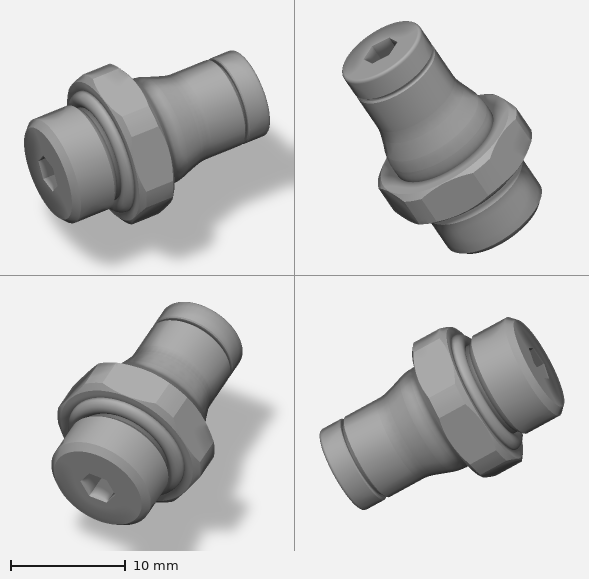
import cadquery as cq
import math

length = 20.0

thread_radius = 4.85
thread_chamfer = 0.58
thread_end = 3.95
relief_radius = 4.32
relief_taper_end = thread_end + thread_radius - relief_radius

hex_start = 5.5
hex_width = 3.5
hex_end = hex_start + hex_width
hex_across_flats = 13.0
hex_corner_radius = 7.0
hex_face_radius = 6.45
hex_chamfer_width = 0.42

ring_section_radius = 0.8
ring_center_radius = 4.85
ring_center_y = hex_start

shoulder_radius = 4.92
shoulder_end = 10.15
spigot_radius = 4.0
spigot_start = 14.05
shoulder_arc_radius = 3.6
spigot_end_round = 0.28

groove_radius = 3.52
groove_start = 17.52
groove_end = 17.82
groove_edge_chamfer = 0.1

key_across_flats = 2.95


def hexagon_prism(across_flats, start, end):
    """Hexagonal prism along Y with two corners on the X axis."""
    across_corners = across_flats / math.cos(math.pi / 6)
    return (
        cq.Workplane("XZ", origin=(0, start, 0))
        .polygon(6, across_corners)
        .extrude(start - end)
    )


def revolve_about_y(profile):
    return profile.revolve(360, (0, 0, 0), (0, 1, 0))


def make_body():
    """Turned core: thread, relief, shoulder and plain spigot."""
    run = spigot_start - shoulder_end
    center_offset = 2 * shoulder_arc_radius - (shoulder_radius - spigot_radius)
    center_distance = math.hypot(run, center_offset)
    cone_angle = math.atan2(run, center_offset) - math.acos(2 * shoulder_arc_radius / center_distance)

    def arc_point(angle):
        """Inward and axial travel along a shoulder arc turned through the angle."""
        inward = shoulder_arc_radius * (1 - math.cos(angle))
        axial = shoulder_arc_radius * math.sin(angle)
        return inward, axial

    mid_inward, mid_axial = arc_point(cone_angle / 2)
    end_inward, end_axial = arc_point(cone_angle)
    profile = (
        cq.Workplane("XY")
        .lineTo(thread_radius - thread_chamfer, 0)
        .lineTo(thread_radius, thread_chamfer)
        .lineTo(thread_radius, thread_end)
        .lineTo(relief_radius, relief_taper_end)
        .lineTo(relief_radius, hex_start)
        .lineTo(shoulder_radius, hex_start)
        .lineTo(shoulder_radius, shoulder_end)
        .threePointArc(
            (shoulder_radius - mid_inward, shoulder_end + mid_axial),
            (shoulder_radius - end_inward, shoulder_end + end_axial),
        )
        .lineTo(spigot_radius + end_inward, spigot_start - end_axial)
        .threePointArc(
            (spigot_radius + mid_inward, spigot_start - mid_axial),
            (spigot_radius, spigot_start),
        )
        .lineTo(spigot_radius, length)
        .lineTo(0, length)
        .close()
    )
    return revolve_about_y(profile).faces(">Y").edges().fillet(spigot_end_round)


def make_collar():
    """Hexagon with its corners turned down and chamfered on both faces."""
    turned_limit = revolve_about_y(
        cq.Workplane("XY")
        .moveTo(0, hex_start)
        .lineTo(hex_face_radius, hex_start)
        .lineTo(hex_corner_radius, hex_start + hex_chamfer_width)
        .lineTo(hex_corner_radius, hex_end - hex_chamfer_width)
        .lineTo(hex_face_radius, hex_end)
        .lineTo(0, hex_end)
        .close()
    )
    return hexagon_prism(hex_across_flats, hex_start, hex_end).intersect(turned_limit)


def make_sealing_ring():
    """Ring of full round section around the relief."""
    return revolve_about_y(
        cq.Workplane("XY")
        .moveTo(ring_center_radius, ring_center_y)
        .circle(ring_section_radius)
    )


def make_snap_groove():
    """Cutter for the spigot groove with chamfered rims."""
    return revolve_about_y(
        cq.Workplane("XY")
        .moveTo(groove_radius, groove_start)
        .lineTo(spigot_radius - groove_edge_chamfer, groove_start)
        .lineTo(spigot_radius, groove_start - groove_edge_chamfer)
        .lineTo(spigot_radius, groove_end + groove_edge_chamfer)
        .lineTo(spigot_radius - groove_edge_chamfer, groove_end)
        .lineTo(groove_radius, groove_end)
        .close()
    )


body = make_body().union(make_collar()).union(make_sealing_ring())
key_hole = hexagon_prism(key_across_flats, 0, length)
result = body.cut(make_snap_groove()).cut(key_hole)